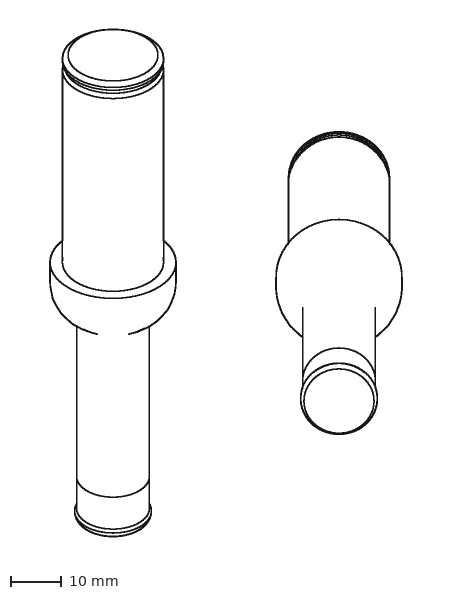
import cadquery as cq
import math

total_height = 112.0
handle_radius = 20.0 / 2
top_chamfer_width = 1.1
top_chamfer_height = 0.8
groove_radius = 9.6
groove_top_z = total_height - 1.5
groove_bottom_z = total_height - 2.5
groove_slope_end_z = total_height - 3.5

collar_radius = 25.0 / 2
collar_top_z = 61.9
collar_bottom_z = 56.9
bowl_radius = 7.7
bowl_end_z = 50.4

shaft_radius = 14.5 / 2

tip_top_z = 10.2
lip_radius = 7.6
lip_slope_top_z = 2.5
lip_top_z = 1.8
lip_round_width = 0.7
end_cone_height = 0.5
end_flat_radius = 3.4


def make_handle():
    """Revolve the grooved handle, collar and lower shaft about Z."""
    bowl_center_radius = collar_radius - bowl_radius
    bowl_drop = collar_bottom_z - bowl_end_z
    bowl_end_angle = math.asin(bowl_drop / bowl_radius)
    bowl_end_radius = bowl_center_radius + bowl_radius * math.cos(bowl_end_angle)
    bowl_middle = (
        bowl_center_radius + bowl_radius * math.cos(bowl_end_angle / 2),
        collar_bottom_z - bowl_radius * math.sin(bowl_end_angle / 2),
    )
    neck_radius = (bowl_end_radius - shaft_radius) / (1 - math.cos(bowl_end_angle))
    neck_center_radius = shaft_radius + neck_radius
    neck_bottom_z = bowl_end_z - neck_radius * math.sin(bowl_end_angle)
    neck_middle = (
        neck_center_radius - neck_radius * math.cos(bowl_end_angle / 2),
        neck_bottom_z + neck_radius * math.sin(bowl_end_angle / 2),
    )

    profile = (
        cq.Workplane("XZ")
        .moveTo(0, tip_top_z)
        .lineTo(0, total_height)
        .lineTo(handle_radius - top_chamfer_width, total_height)
        .lineTo(handle_radius, total_height - top_chamfer_height)
        .lineTo(handle_radius, groove_top_z)
        .lineTo(groove_radius, groove_top_z)
        .lineTo(groove_radius, groove_bottom_z)
        .lineTo(handle_radius, groove_slope_end_z)
        .lineTo(handle_radius, collar_top_z)
        .lineTo(collar_radius, collar_top_z)
        .lineTo(collar_radius, collar_bottom_z)
        .threePointArc(bowl_middle, (bowl_end_radius, bowl_end_z))
        .threePointArc(neck_middle, (shaft_radius, neck_bottom_z))
        .lineTo(shaft_radius, tip_top_z)
        .close()
    )
    return profile.revolve(360, (0, 0), (0, 1))


def make_tip():
    """Revolve the lipped tip about Z."""
    end_cone_radius = lip_radius - lip_round_width
    lip_round_height = lip_top_z - end_cone_height
    lip_round_radius = (lip_round_width**2 + lip_round_height**2) / (2 * lip_round_width)
    lip_center_radius = lip_radius - lip_round_radius
    lip_round_angle = math.asin(lip_round_height / lip_round_radius)
    lip_round_middle = (
        lip_center_radius + lip_round_radius * math.cos(lip_round_angle / 2),
        lip_top_z - lip_round_radius * math.sin(lip_round_angle / 2),
    )

    profile = (
        cq.Workplane("XZ")
        .moveTo(0, 0)
        .lineTo(end_flat_radius, 0)
        .lineTo(end_cone_radius, end_cone_height)
        .threePointArc(lip_round_middle, (lip_radius, lip_top_z))
        .lineTo(shaft_radius, lip_slope_top_z)
        .lineTo(shaft_radius, tip_top_z)
        .lineTo(0, tip_top_z)
        .close()
    )
    return profile.revolve(360, (0, 0), (0, 1))


handle = make_handle()
tip = make_tip()

result = cq.Compound.makeCompound([handle.val(), tip.val()])